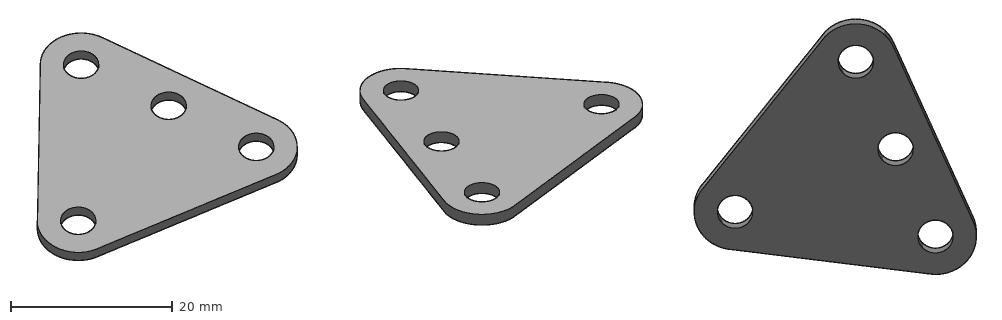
import cadquery as cq
import math

width = 35.55
thickness = 1.6
corner_radius = 5.08
hole_diameter = 4.37

top_hole_span = width - 2 * corner_radius
tip_drop = 21.57
half_span = top_hole_span / 2
top_y = tip_drop / 2
tip_y = -tip_drop / 2
corner_centers = [(-half_span, top_y), (half_span, top_y), (0, tip_y)]
hole_centers = corner_centers + [(0, top_y)]

reach_y = -2.2
reach_x = math.sqrt(corner_radius**2 - reach_y**2)


def plate():
    """Triangular plate whose straight sides join three corner arcs."""
    arc_angle = (math.pi / 2 + math.atan2(reach_y, reach_x)) / 2
    arc_x = half_span + corner_radius * math.cos(arc_angle)
    arc_y = top_y + corner_radius * math.sin(arc_angle)
    return (
        cq.Workplane("XY")
        .moveTo(-half_span, top_y + corner_radius)
        .lineTo(half_span, top_y + corner_radius)
        .threePointArc((arc_x, arc_y), (half_span + reach_x, top_y + reach_y))
        .lineTo(reach_x, tip_y + reach_y)
        .threePointArc((0, tip_y - corner_radius), (-reach_x, tip_y + reach_y))
        .lineTo(-half_span - reach_x, top_y + reach_y)
        .threePointArc((-arc_x, arc_y), (-half_span, top_y + corner_radius))
        .close()
        .extrude(thickness)
    )


def holes():
    """Round through holes at the three corners and midway along the top edge."""
    return cq.Workplane("XY").pushPoints(hole_centers).circle(hole_diameter / 2).extrude(thickness)


result = plate().cut(holes())